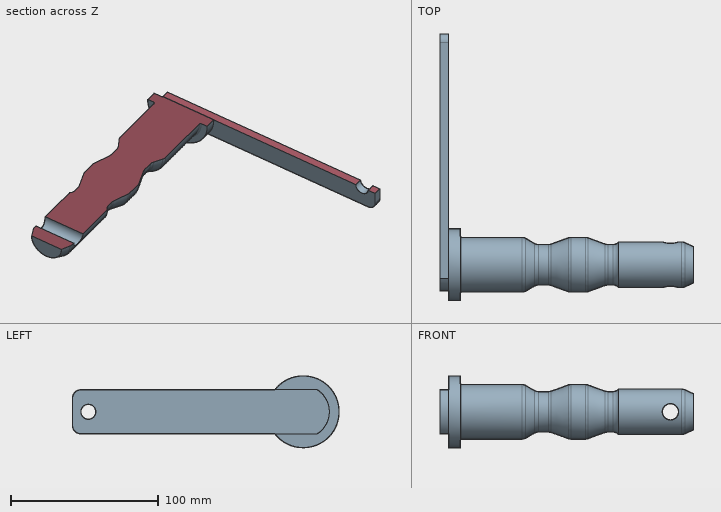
import cadquery as cq
import math


handle_thickness = 6.0
handle_width = 30.0
handle_far_end = 156.8
handle_end_radius = 17.8
handle_corner_radius = 6.0
handle_hole_diameter = 10.0
handle_hole_inset = 10.9

collar_radius = 24.5
collar_end = 14.0
collar_root_radius = 0.9
shank_radius = 18.7
neck_radius = 13.8
tip_radius = 15.5
blend_radius = 5.0
shank_end = 57.0
first_taper_angle = 30
bulge_start = 88.0
bulge_end = 99.7
bulge_taper_angle = 20
tip_start = 121.5
pin_end = 172.3
tip_taper_length = 7.0
tip_taper_angle = 25
pin_hole_diameter = 10.9
pin_hole_inset = 15.8


def taper_length(drop, angle):
    """Axial length of a cone that changes radius by drop."""
    return drop / math.tan(math.radians(angle))


def taper_drop(length, angle):
    """Change of radius of a cone over an axial length."""
    return length * math.tan(math.radians(angle))


def make_handle():
    half_width = handle_width / 2
    arc_start = -math.sqrt(handle_end_radius**2 - half_width**2)
    bar = (
        cq.Workplane("YZ")
        .moveTo(arc_start, half_width)
        .threePointArc((-handle_end_radius, 0), (arc_start, -half_width))
        .lineTo(handle_far_end, -half_width)
        .lineTo(handle_far_end, half_width)
        .close()
        .extrude(handle_thickness)
        .edges("|X and >Y")
        .fillet(handle_corner_radius)
    )
    hole = (
        cq.Workplane("YZ")
        .center(handle_far_end - handle_hole_inset, 0)
        .circle(handle_hole_diameter / 2)
        .extrude(handle_thickness)
    )
    return bar.cut(hole)


def make_turned_blank():
    """Revolve the shank and tip, then round the taper junctions."""
    neck_drop = shank_radius - neck_radius
    bulge_taper_length = taper_length(neck_drop, bulge_taper_angle)
    first_neck_start = shank_end + taper_length(neck_drop, first_taper_angle)
    first_neck_end = bulge_start - bulge_taper_length
    second_neck_start = bulge_end + bulge_taper_length
    tip_taper_start = pin_end - tip_taper_length
    end_radius = tip_radius - taper_drop(tip_taper_length, tip_taper_angle)

    arc_sweep = math.acos(1 - (tip_radius - neck_radius) / blend_radius)
    second_neck_end = tip_start - blend_radius * math.sin(arc_sweep)
    arc_middle = (
        second_neck_end + blend_radius * math.sin(arc_sweep / 2),
        neck_radius + blend_radius * (1 - math.cos(arc_sweep / 2)),
    )

    blended_corners = [
        (shank_end, shank_radius),
        (first_neck_start, neck_radius),
        (first_neck_end, neck_radius),
        (bulge_start, shank_radius),
        (bulge_end, shank_radius),
        (second_neck_start, neck_radius),
        (tip_taper_start, tip_radius),
    ]
    profile = (
        cq.Workplane("XY")
        .moveTo(handle_thickness, 0)
        .lineTo(handle_thickness, collar_radius)
        .lineTo(collar_end, collar_radius)
        .lineTo(collar_end, shank_radius)
    )
    for corner in blended_corners[:-1]:
        profile = profile.lineTo(*corner)
    blank = (
        profile.lineTo(second_neck_end, neck_radius)
        .threePointArc(arc_middle, (tip_start, tip_radius))
        .lineTo(*blended_corners[-1])
        .lineTo(pin_end, end_radius)
        .lineTo(pin_end, 0)
        .close()
        .revolve(360, (0, 0, 0), (1, 0, 0))
    )

    collar_face = blank.faces("|X").faces(cq.selectors.NearestToPointSelector((collar_end, 0, 0)))
    blank = collar_face.edges(cq.selectors.RadiusNthSelector(0)).fillet(collar_root_radius)

    for x, _ in blended_corners:
        junction = cq.selectors.NearestToPointSelector((x, 0, 0))
        blank = blank.edges("%CIRCLE").edges(junction).fillet(blend_radius)
    return blank


def make_pin():
    cross_hole = (
        cq.Workplane("XZ")
        .center(pin_end - pin_hole_inset, 0)
        .circle(pin_hole_diameter / 2)
        .extrude(tip_radius, both=True)
    )
    return make_turned_blank().cut(cross_hole)


handle = make_handle()
pin = make_pin()

result = cq.Compound.makeCompound([handle.val(), pin.val()])